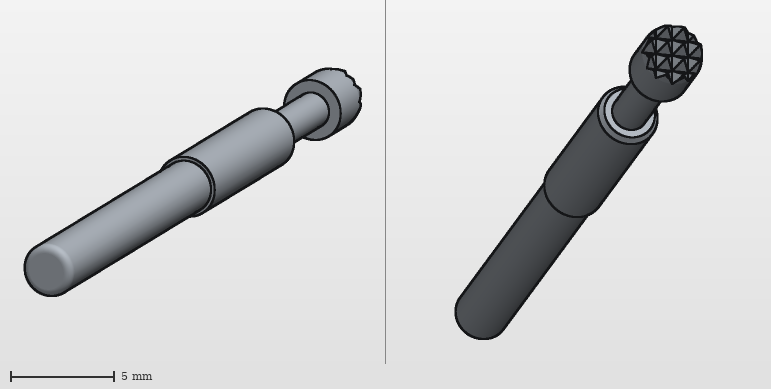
import cadquery as cq
import math

total_length = 35.3

barrel_diameter = 2.6
barrel_length = 16.98
barrel_end_fillet = 0.4

collar_diameter = 3.0
collar_length = 10.0
collar_chamfer_length = 0.32
collar_chamfer_depth = 0.23

shaft_diameter = 1.75
head_diameter = collar_diameter
head_length = 3.0

groove_pitch = 0.8
groove_angle = 60.0
grooves_per_direction = 5
teeth_taper = 12.0

rear_y = -total_length / 2
collar_rear_y = rear_y + barrel_length
collar_front_y = collar_rear_y + collar_length
tip_y = total_length / 2
head_rear_y = tip_y - head_length
groove_half_width = groove_pitch / 2
tooth_height = groove_half_width / math.tan(math.radians(groove_angle / 2))
teeth_base_y = tip_y - tooth_height


def cylinder(diameter, start_y, end_y):
    """Solid cylinder on the Y axis between two Y positions."""
    base = cq.Workplane("XZ", origin=(0, start_y, 0))
    return base.circle(diameter / 2).extrude(start_y - end_y)


def make_barrel():
    barrel = cylinder(barrel_diameter, rear_y, collar_rear_y)
    return barrel.faces("<Y").edges().fillet(barrel_end_fillet)


def make_collar():
    """Collar with a cone frustum in front that joins its rim to the front face."""
    shoulder_y = collar_front_y - collar_chamfer_length
    outer_radius = collar_diameter / 2
    half_profile = [
        (0, collar_rear_y),
        (outer_radius, collar_rear_y),
        (outer_radius, shoulder_y),
        (outer_radius - collar_chamfer_depth, collar_front_y),
        (0, collar_front_y),
    ]
    return cq.Workplane("XY").polyline(half_profile).close().revolve(360, (0, 0, 0), (0, 1, 0))


def make_groove(offset):
    """V-groove running along Z, centred at X = offset and open towards +Y."""
    profile = [
        (offset - groove_half_width, tip_y),
        (offset, teeth_base_y),
        (offset + groove_half_width, tip_y),
    ]
    return cq.Workplane("XY").polyline(profile).close().extrude(head_diameter, both=True)


def make_head():
    base = cq.Workplane("XZ", origin=(0, teeth_base_y, 0)).circle(head_diameter / 2)
    teeth = base.extrude(-tooth_height, taper=teeth_taper)
    for index in range(grooves_per_direction):
        offset = (index - (grooves_per_direction - 1) / 2) * groove_pitch
        groove = make_groove(offset)
        crossing_groove = groove.rotate((0, 0, 0), (0, 1, 0), 90)
        teeth = teeth.cut(groove).cut(crossing_groove)
    return cylinder(head_diameter, head_rear_y, teeth_base_y).union(teeth)


shaft = cylinder(shaft_diameter, collar_front_y, head_rear_y)
result = make_barrel().union(make_collar()).union(shaft).union(make_head())